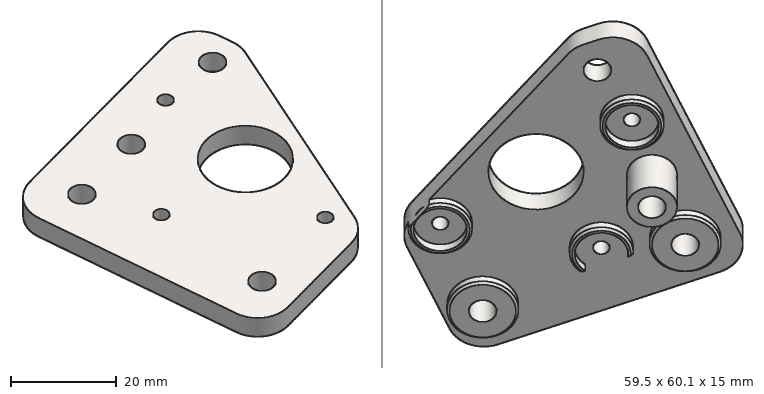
import cadquery as cq
import math

width = 59.45
depth = 60.05
plate_thickness = 5.0
corner_radius = 7.0
top_edge_length = 12.0
slope_angle = 30.5

left_column = 10.0
right_column = 51.45
lower_row = 9.9
pin_centre = (left_column, 26.35)
upper_mount = (left_column, 53.4)
lower_mounts = [(left_column, lower_row), (right_column, lower_row)]
bore_centre = (30.0, 35.35)
lower_screw = (25.5, 13.95)
screw_centres = [(8.5, 39.95), (right_column, 30.9), lower_screw]

mount_hole_diameter = 5.2
screw_hole_diameter = 3.1
bore_diameter = 18.0

mount_boss_diameter = 13.5
screw_boss_diameter = 12.1
screw_recess_diameter = 10.1
open_side_offset = 2.5
boss_height = 2.0
boss_chamfer = 0.5
pin_diameter = 9.5
total_height = 15.0
pin_length = total_height - plate_thickness


def make_plate():
    """Rectangular plate with a sloping upper-right side and rounded corners."""
    slope_drop = (width - top_edge_length) * math.tan(math.radians(slope_angle))
    outline = [
        (0, 0),
        (width, 0),
        (width, depth - slope_drop),
        (top_edge_length, depth),
        (0, depth),
    ]
    plate = cq.Workplane("XY").polyline(outline).close().extrude(plate_thickness)
    return plate.edges("|Z").fillet(corner_radius)


def make_studs(centres, diameter, length):
    """Cylinders hanging from the underside of the plate."""
    return cq.Workplane("XY").pushPoints(centres).circle(diameter / 2).extrude(-length)


def drill(body, centres, diameter):
    """Cut holes right through the plate and whatever hangs below it."""
    drills = (
        cq.Workplane("XY")
        .workplane(offset=-pin_length)
        .pushPoints(centres)
        .circle(diameter / 2)
        .extrude(total_height)
    )
    return body.cut(drills)


def make_bosses(centres, diameter):
    """Bosses with a chamfered lower rim."""
    return make_studs(centres, diameter, boss_height).faces("<Z").chamfer(boss_chamfer)


def make_screw_bosses():
    """Recessed bosses trimmed to the plate outline, the lower one open towards -Y."""
    bosses = make_bosses(screw_centres, screw_boss_diameter)
    bosses = bosses.cut(make_studs(screw_centres, screw_recess_diameter, boss_height))
    centre_x, centre_y = lower_screw
    open_side = (
        cq.Workplane("XY")
        .center(centre_x, centre_y - open_side_offset - screw_boss_diameter / 2)
        .rect(screw_boss_diameter, screw_boss_diameter)
        .extrude(-boss_height)
    )
    return bosses.cut(open_side).intersect(make_plate().translate((0, 0, -boss_height)))


result = make_plate()
result = result.union(make_bosses(lower_mounts, mount_boss_diameter))
result = result.union(make_screw_bosses())
result = result.union(make_studs([pin_centre], pin_diameter, pin_length))

result = drill(result, lower_mounts + [upper_mount, pin_centre], mount_hole_diameter)
result = drill(result, screw_centres, screw_hole_diameter)
result = drill(result, [bore_centre], bore_diameter)